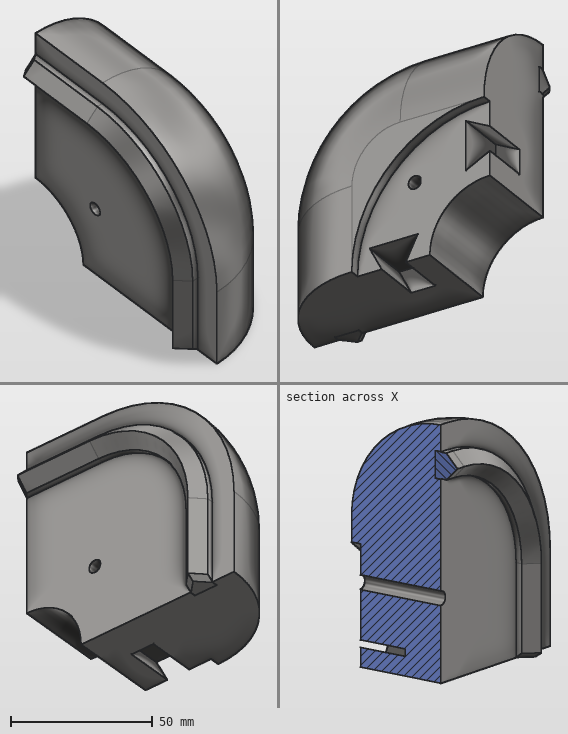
import cadquery as cq
import math

overall_size = 95.0
housing_depth = 40.0
straight_length = 35.0
crown_radius = housing_depth
bore_radius = 25.0

recess_radius = overall_size - crown_radius
recess_depth = 4.0

slot_center = 40.0
slot_mouth_width = 10.0
slot_inner_width = 20.0
slot_depth = 10.0
slot_length = 20.0

hole_diameter = 5.2
hole_offset = 31.3

rail_width = 10.0
rail_edge_gap = 10.0
rail_sunk_depth = 2.5
rail_side_height = 2.5
rail_height = 7.5
rail_end_chamfer = 2.0


def bend_solid(make_section):
    """Join two straight runs and a quarter turn that share one YZ section.

    make_section draws the closed section on a workplane with axes Y and Z.
    """
    upper_run = make_section(cq.Workplane("YZ")).extrude(straight_length)
    corner = make_section(cq.Workplane("YZ", origin=(straight_length, 0, 0))).revolve(
        90, (0, straight_length, 0), (1, straight_length, 0)
    )
    corner_axis = (straight_length, 0, straight_length)
    lower_run = upper_run.translate((straight_length, 0, 0)).rotate(
        corner_axis, (straight_length, 1, straight_length), 90
    )
    return upper_run.union(corner).union(lower_run)


def housing_section(plane):
    """Section from the corner axis up to the quarter-round crown."""
    crown_center = overall_size - crown_radius
    crown_mid = crown_radius * math.sqrt(0.5)
    return (
        plane.moveTo(0, straight_length)
        .lineTo(0, overall_size)
        .threePointArc(
            (crown_mid, crown_center + crown_mid),
            (housing_depth, crown_center),
        )
        .lineTo(housing_depth, straight_length)
        .close()
    )


def rail_section(plane):
    """Five-sided section with a central ridge pointing away from the housing."""
    outer = overall_size - rail_edge_gap
    inner = outer - rail_width
    return plane.polyline([
        (rail_sunk_depth, outer),
        (-rail_side_height, outer),
        (-rail_height, (outer + inner) / 2),
        (-rail_side_height, inner),
        (rail_sunk_depth, inner),
    ]).close()


def make_rail_blank():
    """Rail with square ends, also the shape of its seat in the housing."""
    return bend_solid(rail_section)


def make_rail():
    """Rail with chamfered ridge ends."""
    end_edges = []
    blank = make_rail_blank()
    for end_face in ("<X", "<Z"):
        for edge in blank.faces(end_face).edges().vals():
            if edge.Center().y < -rail_side_height:
                end_edges.append(edge)
    return blank.newObject(end_edges).chamfer(rail_end_chamfer)


def back_cylinder(radius, depth):
    """Cylinder on the bend axis, reaching forward from the back face."""
    return cq.Workplane("XZ", origin=(0, housing_depth, 0)).circle(radius).extrude(depth)


def dovetail_slot():
    """Slot in the x = 0 end face, wider at its bottom than at its mouth."""
    half_mouth = slot_mouth_width / 2
    half_inner = slot_inner_width / 2
    return (
        cq.Workplane("XZ", origin=(0, housing_depth - recess_depth, 0))
        .polyline([
            (0, slot_center - half_mouth),
            (slot_depth, slot_center - half_inner),
            (slot_depth, slot_center + half_inner),
            (0, slot_center + half_mouth),
        ])
        .close()
        .extrude(slot_length)
    )


def make_housing():
    """Elbow body with bore, back recess, dovetail slots, hole and rail seat."""
    inner_block = cq.Workplane("XY").box(
        straight_length, housing_depth, straight_length, centered=False
    )
    body = bend_solid(housing_section).union(inner_block)

    body = body.cut(back_cylinder(bore_radius, housing_depth))
    body = body.cut(back_cylinder(recess_radius, recess_depth))

    slot = dovetail_slot()
    slot_at_bottom = slot.mirror("XY").rotate((0, 0, 0), (0, 1, 0), -90)
    body = body.cut(slot).cut(slot_at_bottom)

    hole = back_cylinder(hole_diameter / 2, housing_depth).translate((hole_offset, 0, hole_offset))
    return body.cut(hole).cut(make_rail_blank())


housing = make_housing()
rail = make_rail()

result = cq.Compound.makeCompound([housing.solids().val(), rail.solids().val()])